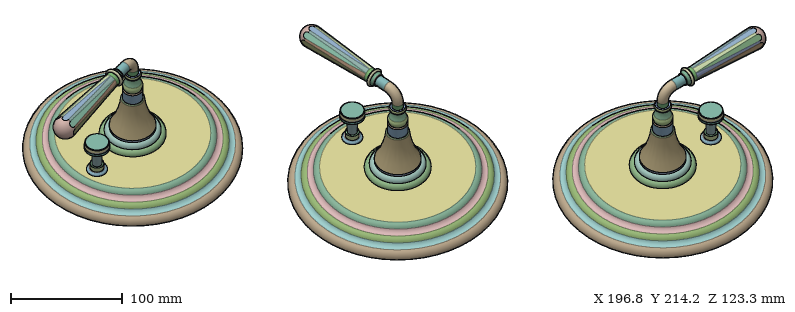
import cadquery as cq
import math

overall_length = 214.2
plate_diameter = 196.8
plate_face_radius = 69.8
plate_height = 19.3
rim_height = 6.5
wave_count = 2

ring_roll = 4.5
bell_foot_radius = 21.0
bell_foot_height = 2.4
bell_waist_radius = 14.0
bell_waist_z = 47.1
bell_top_radius = 10.7
bell_top_z = 64.7
bell_top_round = 0.9

sleeve_radius = 9.2
sleeve_top_z = 76.7
sleeve_chamfer = 1.0
bulb_radius = 9.2
bulb_widest_z = 80.3
bulb_top_radius = 8.0
bulb_top_z = 83.7
neck_radius = 6.2
neck_z = 90.8
neck_mid_radius = 6.6
neck_mid_z = 87.4
collar_radius = 8.0
collar_bottom_z = 92.0
collar_thickness = 3.6
collar_bulge = 1.0

rod_radius = 5.1
bend_radius = 11.8
lever_z = 112.7

grip_ball_radius = 11.0
ferrule_start = 23.1
ferrule_radius = 6.0
ferrule_end = 24.0
flare_mid_radius = 6.2
flare_mid = 25.7
bead_start = 27.0
bead_thickness = 3.2
bead_radius = 9.0
grip_radius = 6.9
flat_start = 34.3
flat_count = 8
flat_depth = 0.5

knob_offset = 55.5
flange_radius = 9.5
flange_height = 2.1
gland_radius = 6.2
gland_top_z = 26.5
stem_radius = 4.5
head_bottom_z = 41.0
head_bottom_radius = 5.5
head_radius = 11.5
head_band_bottom_z = 46.0
head_band_top_z = 49.7
head_edge_chamfer = 0.54
head_cap_radius = 11.0
head_cap_base_radius = 11.4
head_top_z = 53.5

plate_radius = plate_diameter / 2
lever_reach = overall_length - plate_radius
overlap = 1.0
ring_top_z = plate_height + 2 * ring_roll
bell_start_z = ring_top_z + bell_foot_height
collar_top_z = collar_bottom_z + collar_thickness
ball_center = lever_reach - grip_ball_radius
bead_end = bead_start + bead_thickness
quarter_sin = math.sin(math.pi / 4)


def revolve_z(profile):
    """Turn a closed (radius, z) profile in the XZ plane about the Z axis."""
    return profile.close().revolve(360, (0, 0, 0), (0, 1, 0))


def quarter_round(profile, start, size):
    """Add a convex quarter-circle going up and inwards from start."""
    start_r, start_z = start
    mid = (start_r - size * (1 - quarter_sin), start_z + size * quarter_sin)
    return profile.threePointArc(mid, (start_r - size, start_z + size))


def wave(profile, start, width, height):
    """Add an S-curve, level at both ends, rising inwards from start."""
    start_r, start_z = start
    radius = (width**2 + height**2) / (4 * height)
    half_angle = math.atan(height / width)
    sag_r = radius * math.sin(half_angle)
    sag_z = radius * (1 - math.cos(half_angle))
    return (
        profile
        .threePointArc((start_r - sag_r, start_z + sag_z), (start_r - width / 2, start_z + height / 2))
        .threePointArc(
            (start_r - width + sag_r, start_z + height - sag_z), (start_r - width, start_z + height)
        )
    )


def cover_plate():
    wave_width = (plate_radius - rim_height - plate_face_radius) / wave_count
    wave_height = (plate_height - rim_height) / wave_count
    profile = cq.Workplane("XZ").lineTo(plate_radius, 0)
    profile = quarter_round(profile, (plate_radius, 0), rim_height)
    for step in range(wave_count):
        start = (plate_radius - rim_height - step * wave_width, rim_height + step * wave_height)
        profile = wave(profile, start, wave_width, wave_height)
    return revolve_z(profile.lineTo(0, plate_height))


def spindle_housing():
    ring_radius = bell_foot_radius + 2 * ring_roll
    base_z = plate_height - overlap
    profile = cq.Workplane("XZ").moveTo(0, base_z).lineTo(ring_radius, base_z)
    profile = profile.lineTo(ring_radius, plate_height)
    profile = quarter_round(profile, (ring_radius, plate_height), ring_roll)
    profile = quarter_round(profile, (ring_radius - ring_roll, plate_height + ring_roll), ring_roll)
    profile = (
        profile
        .lineTo(bell_foot_radius, bell_start_z)
        .threePointArc((bell_waist_radius, bell_waist_z), (bell_top_radius, bell_top_z - bell_top_round))
    )
    profile = quarter_round(profile, (bell_top_radius, bell_top_z - bell_top_round), bell_top_round)
    profile = (
        profile
        .lineTo(sleeve_radius, bell_top_z)
        .lineTo(sleeve_radius, sleeve_top_z - sleeve_chamfer)
        .lineTo(sleeve_radius - sleeve_chamfer, sleeve_top_z)
        .threePointArc((bulb_radius, bulb_widest_z), (bulb_top_radius, bulb_top_z))
        .threePointArc((neck_mid_radius, neck_mid_z), (neck_radius, neck_z))
        .lineTo(neck_radius, collar_bottom_z)
        .lineTo(collar_radius - collar_bulge, collar_bottom_z)
        .threePointArc(
            (collar_radius, collar_bottom_z + collar_thickness / 2),
            (collar_radius - collar_bulge, collar_top_z),
        )
        .lineTo(0, collar_top_z)
    )
    return revolve_z(profile)


def lever_rod():
    start_z = collar_top_z - overlap
    path = (
        cq.Workplane("YZ")
        .moveTo(0, start_z)
        .lineTo(0, lever_z - bend_radius)
        .radiusArc((-bend_radius, lever_z), -bend_radius)
        .lineTo(-ferrule_start - overlap, lever_z)
    )
    return cq.Workplane("XY", origin=(0, 0, start_z)).circle(rod_radius).sweep(path)


def grip_body():
    """Ferrule, bead, tapered grip and ball end, turned about Z and pointing along +Z."""
    taper_length = ball_center - flat_start
    taper_angle = math.atan2(grip_ball_radius - grip_radius, taper_length)
    tangent_point = (
        grip_ball_radius * math.cos(taper_angle),
        ball_center - grip_ball_radius * math.sin(taper_angle),
    )
    profile = (
        cq.Workplane("XZ")
        .moveTo(0, ferrule_start)
        .lineTo(ferrule_radius, ferrule_start)
        .lineTo(ferrule_radius, ferrule_end)
        .threePointArc((flare_mid_radius, flare_mid), (bead_radius - bead_thickness / 2, bead_start))
        .threePointArc(
            (bead_radius, bead_start + bead_thickness / 2),
            (bead_radius - bead_thickness / 2, bead_end),
        )
        .lineTo(grip_radius, bead_end)
        .lineTo(grip_radius, flat_start)
        .lineTo(*tangent_point)
        .threePointArc(
            (grip_ball_radius * quarter_sin, ball_center + grip_ball_radius * quarter_sin),
            (0, lever_reach),
        )
    )
    return revolve_z(profile)


def grip_flat_cutter():
    """Wedge whose sloping face planes one flat along the grip, on the +X side."""
    slope = (grip_ball_radius - flat_depth - grip_radius) / (ball_center - flat_start)
    end_distance = grip_radius + slope * (lever_reach - flat_start)
    outside = 2 * grip_ball_radius
    return (
        cq.Workplane("XZ")
        .polyline([
            (grip_radius, flat_start),
            (outside, flat_start),
            (outside, lever_reach),
            (end_distance, lever_reach),
        ])
        .close()
        .extrude(grip_ball_radius, both=True)
    )


def grip():
    body = grip_body()
    for index in range(flat_count):
        angle = index * 360 / flat_count
        body = body.cut(grip_flat_cutter().rotate((0, 0, 0), (0, 0, 1), angle))
    return body.rotate((0, 0, 0), (1, 0, 0), 90).translate((0, 0, lever_z))


def knob():
    base_z = plate_height - overlap
    profile = cq.Workplane("XZ").moveTo(0, base_z).lineTo(flange_radius, base_z)
    profile = profile.lineTo(flange_radius, plate_height)
    profile = quarter_round(profile, (flange_radius, plate_height), flange_height)
    profile = (
        profile
        .lineTo(gland_radius, plate_height + flange_height)
        .lineTo(gland_radius, gland_top_z)
        .lineTo(stem_radius, gland_top_z)
        .lineTo(stem_radius, head_bottom_z)
        .lineTo(head_bottom_radius, head_bottom_z)
        .lineTo(head_radius - head_edge_chamfer, head_band_bottom_z)
        .lineTo(head_radius, head_band_bottom_z + head_edge_chamfer)
        .lineTo(head_radius, head_band_top_z - head_edge_chamfer)
        .lineTo(head_cap_base_radius, head_band_top_z)
        .lineTo(head_cap_radius, head_top_z - head_edge_chamfer)
        .lineTo(head_cap_radius - head_edge_chamfer, head_top_z)
        .lineTo(0, head_top_z)
    )
    return revolve_z(profile).translate((0, -knob_offset, 0))


result = cover_plate().union(spindle_housing()).union(lever_rod()).union(grip()).union(knob())